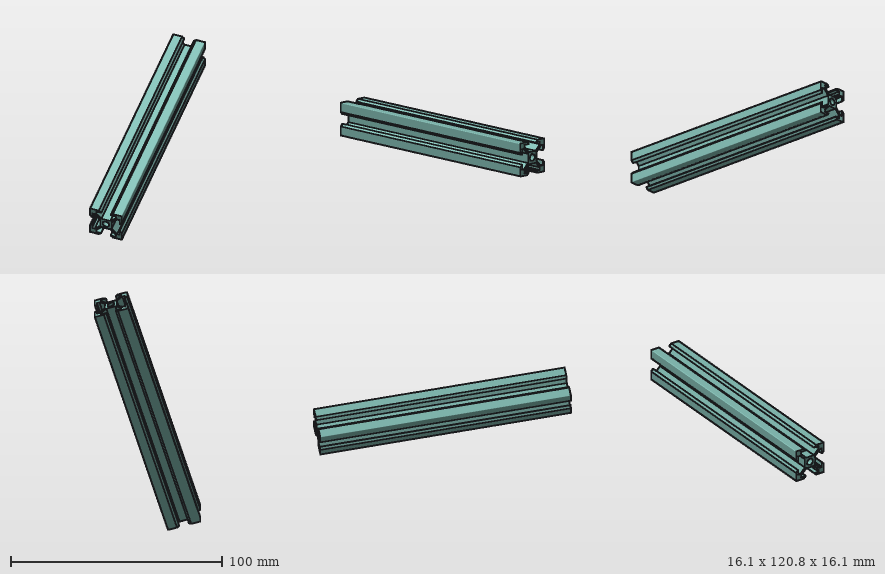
import cadquery as cq

length = 120.8
width = 16.1
half_width = width / 2
corner_radius = 0.4

lip_thickness = 1.16
slot_mouth_half = 3.5
lip_tip_half = slot_mouth_half - lip_thickness
slot_inner_half = 5.0

core_width = 5.8
core_half = core_width / 2
bore_diameter = 3.3
web_offset = 0.68

lip_inner = half_width - lip_thickness


def slot_cutter():
    """T-slot opening upwards, running the full length of the profile."""
    right_side = [
        (core_half - web_offset, core_half),
        (slot_inner_half, slot_inner_half + web_offset),
        (slot_inner_half, lip_inner),
        (lip_tip_half, lip_inner),
        (slot_mouth_half, half_width),
    ]
    left_side = [(-x, z) for x, z in reversed(right_side)]
    return (
        cq.Workplane("XZ")
        .polyline(right_side + left_side)
        .close()
        .extrude(length / 2, both=True)
    )


body = cq.Workplane("XY").box(width, length, width).edges("|Y").fillet(corner_radius)

for side in range(4):
    body = body.cut(slot_cutter().rotate((0, 0, 0), (0, 1, 0), 90 * side))

bore = cq.Workplane("XZ").circle(bore_diameter / 2).extrude(length / 2, both=True)

result = body.cut(bore)